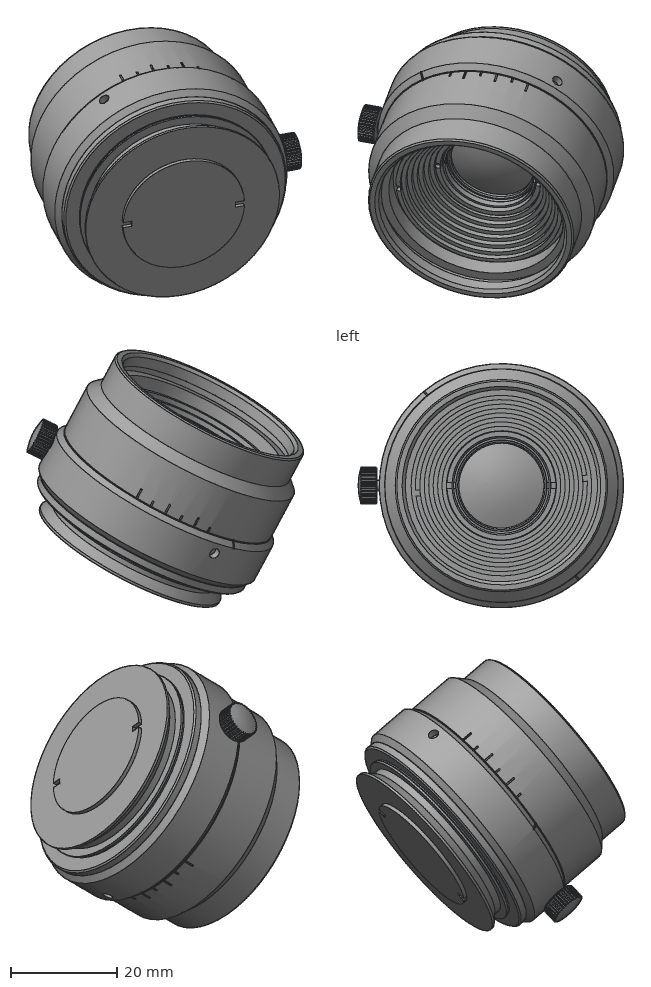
import cadquery as cq
import math


length = 33.9
hood_r = 20.0
hood_chamfer = 0.3
hood_end_x = 6.0
barrel_r = 22.0
barrel_end_x = 17.3
ring_gap = 0.2
ring_gap_depth = 0.1

ring_r = 23.0
ring_start_x = barrel_end_x + ring_gap
ring_bevel = ring_r - barrel_r
ring_end_x = 25.9
ring_rear_bevel = 1.1

flange_bevel = 0.1
flange_start_x = ring_end_x + ring_rear_bevel
flange_end_x = 28.7
flange_chamfer = 0.3
mount_r = 19.15
mount_chamfer = 0.15
collar_start_x = 29.0
collar_end_x = 29.6
mount_groove_r = 17.5
cone_start_x = 31.0
cone_end_x = cone_start_x + mount_r - mount_groove_r
mount_end_x = 33.15
rear_boss_r = 12.0

rim_r = 18.7
lip_r = 18.1
lip_cone_length = rim_r - lip_r
lip_end_x = 2.65
relief_r = 18.8
relief_end_x = 3.95
bore_r = 17.0

baffle_r = 16.2
baffle_bore_r = 10.35
baffle_start_x = 6.15
step_count = 7
step_length = 1.0
step_height = (baffle_r - baffle_bore_r) / step_count
baffle_gap_end_x = baffle_start_x + step_length

retainer_x = 12.7
retainer_gap = 0.1
retainer_r = baffle_bore_r - retainer_gap
retainer_gap_depth = 0.3
retainer_bore_r = 9.3
lens_ring_r = 9.0
lens_ring_x = 13.5
lens_ring_bore_r = 8.6
ring_floor_x = lens_ring_x + 1.0
ring_floor_bevel = retainer_bore_r - lens_ring_r

seat_x = 14.7
seat_r = 8.55
stop_x = 15.3
lens_r = 8.0
stop_bevel = 0.25
lens_edge_x = 16.1
lens_curve_r = 20.0
lens_sag = lens_curve_r - math.sqrt(lens_curve_r**2 - lens_r**2)

slot_width = 1.15
baffle_slot_angle = 5.0
rear_slot_depth = 1.75

screw_x = 20.5
hole_d = 2.0
hole_depth = 1.5
hole_spacing_angle = 120.0
stem_d = 2.05
knob_r = 3.5
knob_bottom = 23.4
knob_shoulder = 26.45
knob_top = 27.0
knob_chamfer = 0.25
knurl_count = 36
knurl_depth = 0.25
knurl_width = 0.35

mark_depth = 0.1
mark_width = 0.3
mark_count = 6
first_mark_angle = -22.4
mark_spacing_angle = 8.0
short_mark_length = 1.05
long_mark_length = 2.0
index_angle = -39.4


def make_barrel():
    """Solid of revolution with the complete outside shape."""
    gap_r = barrel_r - ring_gap_depth
    points = [
        (0, 0),
        (0, hood_r - hood_chamfer),
        (hood_chamfer, hood_r),
        (hood_end_x, hood_r),
        (hood_end_x + barrel_r - hood_r, barrel_r),
        (barrel_end_x, barrel_r),
        (barrel_end_x, gap_r),
        (ring_start_x, gap_r),
        (ring_start_x, barrel_r),
        (ring_start_x + ring_bevel, ring_r),
        (ring_end_x, ring_r),
        (flange_start_x, ring_r - ring_rear_bevel),
        (flange_start_x + flange_bevel, barrel_r),
        (flange_end_x - flange_chamfer, barrel_r),
        (flange_end_x, barrel_r - flange_chamfer),
        (flange_end_x, mount_r - mount_chamfer),
        (collar_start_x, mount_r - mount_chamfer),
        (collar_start_x + mount_chamfer, mount_r),
        (collar_end_x, mount_r),
        (collar_end_x, mount_groove_r),
        (cone_start_x, mount_groove_r),
        (cone_end_x, mount_r),
        (mount_end_x, mount_r),
        (mount_end_x, rear_boss_r),
        (length, rear_boss_r),
        (length, 0),
    ]
    return cq.Workplane("XY").polyline(points).close().revolve(360, (0, 0, 0), (1, 0, 0))


def make_front_cavity():
    """Space in front of the lens: lip, relief groove, bore, stepped baffle and lens seat."""
    points = [
        (0, 0),
        (0, rim_r),
        (lip_cone_length, lip_r),
        (lip_end_x, lip_r),
        (lip_end_x, relief_r),
        (relief_end_x, relief_r),
        (relief_end_x, bore_r),
        (baffle_gap_end_x, bore_r),
        (baffle_gap_end_x, baffle_r),
    ]
    outer_r = baffle_r
    for step in range(step_count):
        face_x = baffle_start_x + step * step_length
        inner_r = outer_r - step_height
        points += [(face_x, outer_r), (face_x, inner_r)]
        outer_r = inner_r
    points += [
        (retainer_x + retainer_gap_depth, baffle_bore_r),
        (retainer_x + retainer_gap_depth, retainer_r),
        (retainer_x, retainer_r),
        (retainer_x, retainer_bore_r),
        (ring_floor_x - ring_floor_bevel, retainer_bore_r),
        (ring_floor_x, lens_ring_r),
        (lens_ring_x, lens_ring_r),
        (lens_ring_x, lens_ring_bore_r),
        (seat_x, lens_ring_bore_r),
        (seat_x, seat_r),
        (stop_x, seat_r),
        (stop_x, lens_r + stop_bevel),
        (stop_x + stop_bevel, lens_r),
        (lens_edge_x, lens_r),
    ]
    half_angle = math.asin(lens_r / lens_curve_r) / 2
    apex_x = lens_edge_x - lens_sag
    mid_point = (apex_x + lens_curve_r * (1 - math.cos(half_angle)), lens_curve_r * math.sin(half_angle))
    section = cq.Workplane("XY").polyline(points).threePointArc(mid_point, (apex_x, 0)).close()
    return section.revolve(360, (0, 0, 0), (1, 0, 0))


def make_slot_pair(start_x, end_x, inner_r, outer_r):
    """Two opposite spanner slots on the Y axis."""
    size_x = end_x - start_x
    size_y = outer_r - inner_r
    return (
        cq.Workplane("XY")
        .pushPoints([((start_x + end_x) / 2, side * (inner_r + outer_r) / 2) for side in (1, -1)])
        .box(size_x, size_y, slot_width)
    )


def make_screw():
    """Knurled screw pointing along +Y."""
    overlap = 0.5
    profile = (
        cq.Workplane("XY")
        .moveTo(0, ring_r - overlap)
        .lineTo(stem_d / 2, ring_r - overlap)
        .lineTo(stem_d / 2, knob_bottom)
        .lineTo(knob_r - knob_chamfer, knob_bottom)
        .lineTo(knob_r, knob_bottom + knob_chamfer)
        .lineTo(knob_r, knob_shoulder)
    )
    dome_r = (knob_r**2 + (knob_top - knob_shoulder) ** 2) / (2 * (knob_top - knob_shoulder))
    half_angle = math.asin(knob_r / dome_r) / 2
    dome_mid = (dome_r * math.sin(half_angle), knob_top - dome_r * (1 - math.cos(half_angle)))
    screw = profile.threePointArc(dome_mid, (0, knob_top)).close().revolve(360, (0, 0, 0), (0, 1, 0))

    cutter_r = knob_r + knurl_depth
    groove = (
        cq.Workplane("XZ", origin=(0, knob_bottom, 0))
        .polyline([(knob_r - knurl_depth, 0), (cutter_r, knurl_width), (cutter_r, -knurl_width)])
        .close()
        .extrude(knob_bottom - knob_top)
    )
    for tooth in range(knurl_count):
        screw = screw.cut(groove.rotate((0, 0, 0), (0, 1, 0), tooth * 360 / knurl_count))
    return screw.translate((screw_x, 0, 0))


def make_hole(angle):
    """Blind radial hole, turned about the X axis from the screw's direction."""
    hole = (
        cq.Workplane("XZ", origin=(screw_x, ring_r - hole_depth, 0))
        .circle(hole_d / 2)
        .extrude(-2 * hole_depth)
    )
    return hole.rotate((0, 0, 0), (1, 0, 0), angle)


def make_scale_marks():
    """Aperture lines engraved in front of the focus ring, on the top and bottom."""
    marks = cq.Workplane("XY")
    for side_angle in (0, 180):
        for number in range(mark_count):
            mark_length = long_mark_length if number % 2 else short_mark_length
            mark = cq.Workplane("XY").box(mark_length, mark_width, 2 * mark_depth)
            mark = mark.translate((barrel_end_x - mark_length / 2, 0, barrel_r))
            angle = side_angle + first_mark_angle + number * mark_spacing_angle
            marks = marks.add(mark.rotate((0, 0, 0), (1, 0, 0), angle))
    return marks


def make_index_mark(angle):
    """Line engraved along the front bevel of the focus ring."""
    mark = cq.Workplane("XY").box(2 * ring_bevel, mark_width, 2 * mark_depth)
    mark = mark.rotate((0, 0, 0), (0, 1, 0), -45)
    mark = mark.translate((ring_start_x + ring_bevel / 2, 0, barrel_r + ring_bevel / 2))
    return mark.rotate((0, 0, 0), (1, 0, 0), angle)


barrel = make_barrel().cut(make_front_cavity())

baffle_slots = make_slot_pair(baffle_start_x, baffle_gap_end_x, baffle_r - step_height, baffle_r)
barrel = barrel.cut(baffle_slots.rotate((0, 0, 0), (1, 0, 0), -baffle_slot_angle))
barrel = barrel.cut(make_slot_pair(retainer_x, lens_ring_x, retainer_bore_r, baffle_bore_r))
barrel = barrel.cut(make_slot_pair(lens_ring_x, ring_floor_x, lens_ring_bore_r, lens_ring_r))
barrel = barrel.cut(make_slot_pair(mount_end_x, length, rear_boss_r - rear_slot_depth, rear_boss_r))

for turn in (1, 2):
    barrel = barrel.cut(make_hole(turn * hole_spacing_angle))

for mark in make_scale_marks().vals():
    barrel = barrel.cut(cq.Workplane(mark))
for side_angle in (0, 180):
    barrel = barrel.cut(make_index_mark(side_angle + index_angle))

result = barrel.union(make_screw())